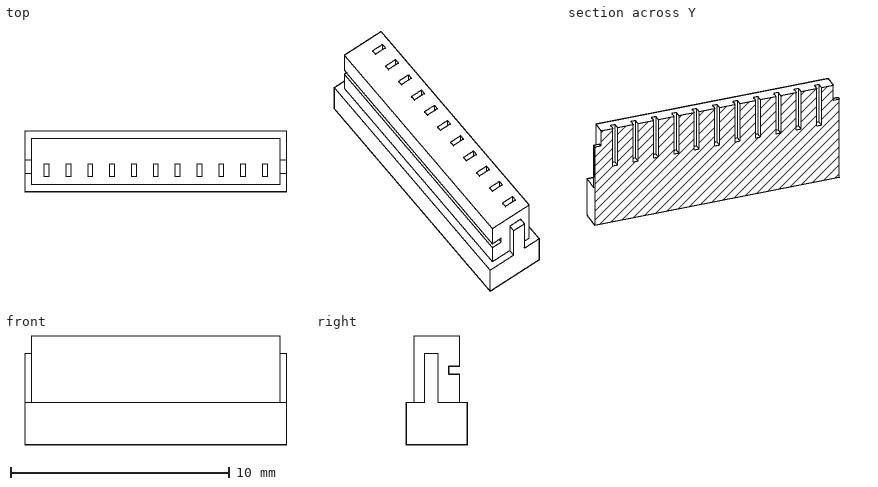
import cadquery as cq

base_length = 12.0
base_width = 2.8
base_height = 1.95

total_height = 5.0
end_inset = 0.3
side_inset = 0.35
body_length = base_length - 2 * end_inset
body_width = base_width - 2 * side_inset
body_back = body_width / 2

rib_width = 0.62
rib_center_y = -0.25
rib_top = 4.2

groove_depth = 0.5
groove_top = 3.6
groove_bottom = 3.25

slot_count = 11
slot_pitch = 1.0
slot_length = 0.22
slot_width = 0.57
slot_center_y = -0.41
slot_depth = 2.0


def block(length, width, bottom, top, center_y=0.0):
    """Box centred on X and on center_y, spanning bottom to top in Z."""
    return (
        cq.Workplane("XY", origin=(0, center_y, bottom))
        .rect(length, width)
        .extrude(top - bottom)
    )


def latch_groove():
    """Square-cornered groove running the full length of the body, open to the back."""
    groove_center_y = body_back - groove_depth / 2
    return block(body_length, groove_depth, groove_bottom, groove_top, groove_center_y)


def contact_slots():
    """Evenly spaced blind slots, centred on X."""
    return (
        cq.Workplane("XY", origin=(0, slot_center_y, total_height - slot_depth))
        .rarray(slot_pitch, 1, slot_count, 1)
        .rect(slot_length, slot_width)
        .extrude(slot_depth)
    )


base = block(base_length, base_width, 0, base_height)
body = block(body_length, body_width, base_height, total_height)
end_ribs = block(base_length, rib_width, base_height, rib_top, rib_center_y)

result = base.union(body).union(end_ribs).cut(latch_groove()).cut(contact_slots())